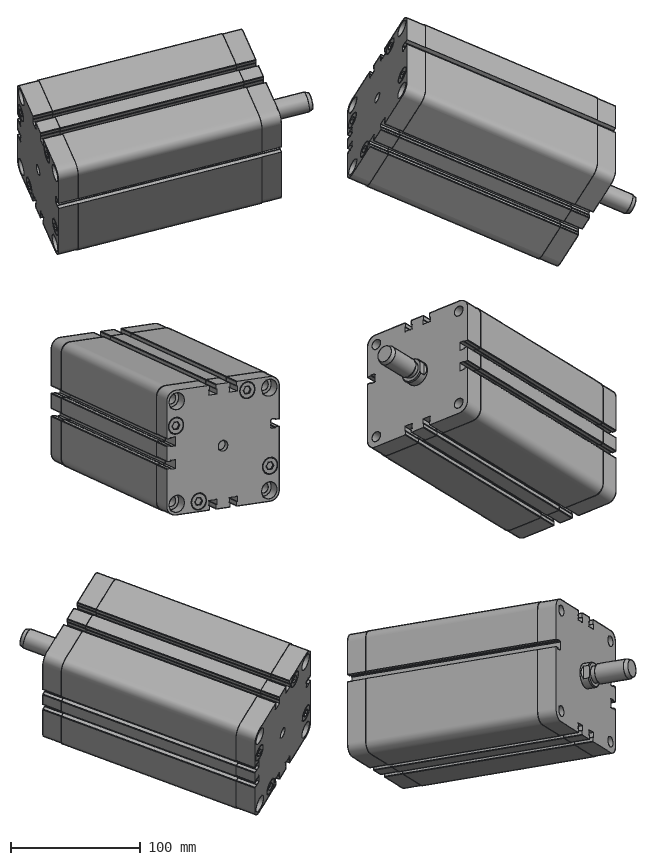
import cadquery as cq
import math

TOTAL_LENGTH = 221.0

BARREL_SIDE = 100.0
CAP_SIDE = 99.5
BARREL_CORNER_RADIUS = 8.0
CAP_CORNER_RADIUS = 8.2
CAP_LENGTH = 16.0
HOUSING_LENGTH = 181.0
BARREL_LENGTH = HOUSING_LENGTH - 2 * CAP_LENGTH

SLOT_OFFSET = 9.0
SLOT_NECK = 5.3
SLOT_WIDTH = 6.6
SLOT_DEPTH = 7.7
SLOT_NECK_DEPTH = 4.2
SLOT_MOUTH_BEVEL = 0.5
CAP_SLOT_CLEARANCE = 0.2

SIDE_SLOT_Z = 12.0
SIDE_SLOT_NECK = 6.0
SIDE_SLOT_WIDTH = 7.3
SIDE_SLOT_NECK_DEPTH = 3.8
SIDE_SLOT_BEVEL = 0.9

MOUNT_OFFSET = 40.9
MOUNT_HOLE_DIAMETER = 8.5
MOUNT_BORE_DIAMETER = 13.5
MOUNT_BORE_DEPTH = 9.0

SCREW_RADIAL = 41.5
SCREW_SHIFT = 21.5
SCREW_BORE_DIAMETER = 13.5
SCREW_HEAD_DIAMETER = 12.5
SCREW_GAP_DEPTH = 4.5
HEX_ACROSS_FLATS = 5.7
HEX_DEPTH = 1.5

CENTRE_HOLE_DIAMETER = 8.5
CENTRE_HOLE_DEPTH = 4.5

ROD_DIAMETER = 20.0
ROD_LENGTH = 7.5
ROD_CHAMFER = 1.0
THREAD_DIAMETER = 16.0
THREAD_RELIEF_DIAMETER = 13.5
THREAD_RELIEF_LENGTH = 3.5
THREAD_ROOT_CHAMFER = 0.7
THREAD_CHAMFER_LENGTH = 3.3
FLATS_DISTANCE = 17.0
FLATS_LENGTH = 5.0


def along_y(y):
    """Work plane at height y: local x is X, local y is Z, extrusion runs toward +Y."""
    plane = cq.Plane(origin=(0, y, 0), xDir=(1, 0, 0), normal=(0, -1, 0))
    return cq.Workplane(plane)


def rounded_block(side, corner_radius, start, length):
    return along_y(start).rect(side, side).extrude(-length).edges("|Y").fillet(corner_radius)


def cylinder(diameter, start, length, points=((0, 0),)):
    return along_y(start).pushPoints(points).circle(diameter / 2).extrude(-length)


def slot(shift, neck, width, neck_depth, clearance=0.0):
    """Pocket and opening of a T-slot cutter for the +Z side, as long as the housing."""
    top = BARREL_SIDE / 2
    floor = top - SLOT_DEPTH - clearance
    pocket_height = SLOT_DEPTH - neck_depth + 2 * clearance
    pocket = along_y(0).center(shift, floor + pocket_height / 2)
    pocket = pocket.rect(width + 2 * clearance, pocket_height).extrude(-HOUSING_LENGTH)
    opening = along_y(0).center(shift, (floor + top) / 2)
    opening = opening.rect(neck + 2 * clearance, top - floor).extrude(-HOUSING_LENGTH)
    return pocket, opening


def sensor_slots(block_side, clearance=0.0):
    """The six sensor slots of a square block, widened by the clearance, with bevelled mouths."""
    half_neck = SLOT_NECK / 2 + clearance
    half_mouth = half_neck + SLOT_MOUTH_BEVEL
    top = block_side / 2
    mouth = along_y(0).polyline([
        (-half_neck, top - SLOT_MOUTH_BEVEL),
        (-half_mouth, top),
        (half_mouth, top),
        (half_neck, top - SLOT_MOUTH_BEVEL),
    ])
    mouth = mouth.close().extrude(-HOUSING_LENGTH)
    cutter = cq.Workplane()
    for shift in (-SLOT_OFFSET, SLOT_OFFSET):
        pocket, opening = slot(shift, SLOT_NECK, SLOT_WIDTH, SLOT_NECK_DEPTH, clearance)
        sensor_slot = pocket.union(opening).union(mouth.translate((shift, 0, 0)))
        for side_angle in (0, 180, -90):
            cutter = cutter.add(turn(sensor_slot, side_angle))
    return cutter.combine()


def side_slot():
    """Wider T-slot with bevelled bottom corners, turned to the +X side."""
    pocket, opening = slot(-SIDE_SLOT_Z, SIDE_SLOT_NECK, SIDE_SLOT_WIDTH, SIDE_SLOT_NECK_DEPTH)
    pocket = pocket.faces("<Z").edges("|Y").chamfer(SIDE_SLOT_BEVEL)
    return turn(pocket.union(opening), 90)


def turn(body, degrees):
    """Turn about the cylinder axis; +90 takes the +Z side to +X."""
    return body.rotate((0, 0, 0), (0, 1, 0), degrees)


def housing():
    """Barrel between two slightly smaller caps, with all the slots."""
    body = rounded_block(BARREL_SIDE, BARREL_CORNER_RADIUS, CAP_LENGTH, BARREL_LENGTH)
    body = body.cut(sensor_slots(BARREL_SIDE))
    cap_slots = sensor_slots(CAP_SIDE, CAP_SLOT_CLEARANCE)
    for cap_start in (0, HOUSING_LENGTH - CAP_LENGTH):
        cap = rounded_block(CAP_SIDE, CAP_CORNER_RADIUS, cap_start, CAP_LENGTH)
        body = body.union(cap.cut(cap_slots))
    return body.cut(side_slot())


def mounting_holes():
    corners = [(sx * MOUNT_OFFSET, sz * MOUNT_OFFSET) for sx in (-1, 1) for sz in (-1, 1)]
    through = cylinder(MOUNT_HOLE_DIAMETER, 0, HOUSING_LENGTH, corners)
    return through.union(cylinder(MOUNT_BORE_DIAMETER, 0, MOUNT_BORE_DEPTH, corners))


def screw_recesses():
    """Clearance rings around four flush screw heads, and the hexagon sockets in the heads."""
    centres = [
        (SCREW_SHIFT, SCREW_RADIAL),
        (SCREW_RADIAL, -SCREW_SHIFT),
        (-SCREW_SHIFT, -SCREW_RADIAL),
        (-SCREW_RADIAL, SCREW_SHIFT),
    ]
    rings = cylinder(SCREW_BORE_DIAMETER, 0, SCREW_GAP_DEPTH, centres)
    rings = rings.cut(cylinder(SCREW_HEAD_DIAMETER, 0, SCREW_GAP_DEPTH, centres))
    hex_across_corners = HEX_ACROSS_FLATS / math.cos(math.pi / 6)
    sockets = along_y(0).pushPoints(centres).polygon(6, hex_across_corners).extrude(-HEX_DEPTH)
    return rings.union(sockets)


def rod():
    """Rod end with wrench flats on +X and -X, thread relief and threaded tip."""
    rod_end = HOUSING_LENGTH + ROD_LENGTH
    thread_start = rod_end + THREAD_RELIEF_LENGTH
    rod_radius = ROD_DIAMETER / 2
    thread_radius = THREAD_DIAMETER / 2
    relief_radius = THREAD_RELIEF_DIAMETER / 2
    profile = [
        (0, HOUSING_LENGTH - CAP_LENGTH),
        (rod_radius, HOUSING_LENGTH - CAP_LENGTH),
        (rod_radius, rod_end - ROD_CHAMFER),
        (rod_radius - ROD_CHAMFER / 2, rod_end),
        (relief_radius, rod_end),
        (relief_radius, thread_start),
        (thread_radius, thread_start + THREAD_ROOT_CHAMFER),
        (thread_radius, TOTAL_LENGTH - THREAD_CHAMFER_LENGTH),
        (relief_radius, TOTAL_LENGTH),
        (0, TOTAL_LENGTH),
    ]
    body = cq.Workplane("XY").polyline(profile).close().revolve(360, (0, 0, 0), (0, 1, 0))

    flat_x = FLATS_DISTANCE / 2
    flat_start = rod_end - FLATS_LENGTH
    runout = rod_radius - flat_x
    flat = (
        cq.Workplane("XY")
        .polyline([
            (flat_x, rod_end),
            (flat_x, flat_start),
            (rod_radius, flat_start - runout),
            (rod_radius, rod_end),
        ])
        .close()
        .extrude(rod_radius, both=True)
    )
    return body.cut(flat).cut(flat.mirror("YZ"))


result = housing().union(rod())
result = result.cut(mounting_holes()).cut(screw_recesses())
result = result.cut(cylinder(CENTRE_HOLE_DIAMETER, 0, CENTRE_HOLE_DEPTH))